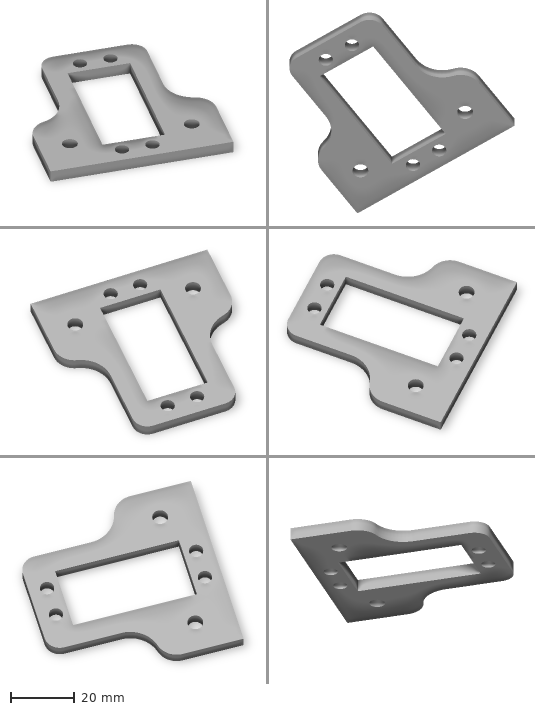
import cadquery as cq
import math

length = 60.35
base_width = 60.0
arm_width = 34.5
thickness = 4.0
base_straight_length = 20.0

arm_corner_radius = 5.0
shoulder_convex_radius = 7.0
shoulder_concave_radius = 10.0

window_length = 40.7
window_width = 20.5
window_center_to_edge = 30.0
window_hole_diameter = 4.5
window_hole_spacing_x = 49.0
window_hole_spacing_y = 10.0

mount_hole_diameter = 5.0
mount_hole_to_edge = 13.0
mount_hole_spacing = 40.0

edge_x = length / 2
arm_end_x = -length / 2
window_x = edge_x - window_center_to_edge


def point_on_circle(center, radius, angle):
    return (center[0] + radius * math.cos(angle), center[1] + radius * math.sin(angle))


def half_plate():
    """Half of the plate on the +Y side, with an S-shaped shoulder of two tangent arcs."""
    base_y = base_width / 2
    arm_y = arm_width / 2
    shoulder_x = edge_x - base_straight_length

    radius_sum = shoulder_convex_radius + shoulder_concave_radius
    turn = math.acos(1 - (base_y - arm_y) / radius_sum)
    arm_tangent_x = shoulder_x - radius_sum * math.sin(turn)

    convex_center = (shoulder_x, base_y - shoulder_convex_radius)
    concave_center = (arm_tangent_x, arm_y + shoulder_concave_radius)
    up = math.pi / 2
    convex_mid = point_on_circle(convex_center, shoulder_convex_radius, up + turn / 2)
    inflection = point_on_circle(convex_center, shoulder_convex_radius, up + turn)
    concave_mid = point_on_circle(concave_center, shoulder_concave_radius, -up + turn / 2)

    corner_center = (arm_end_x + arm_corner_radius, arm_y - arm_corner_radius)
    corner_mid = point_on_circle(corner_center, arm_corner_radius, 3 * math.pi / 4)

    return (
        cq.Workplane("XY")
        .moveTo(edge_x, 0)
        .lineTo(edge_x, base_y)
        .lineTo(shoulder_x, base_y)
        .threePointArc(convex_mid, inflection)
        .threePointArc(concave_mid, (arm_tangent_x, arm_y))
        .lineTo(corner_center[0], arm_y)
        .threePointArc(corner_mid, (arm_end_x, corner_center[1]))
        .lineTo(arm_end_x, 0)
        .close()
        .extrude(thickness)
    )


def full_plate():
    half = half_plate()
    return half.union(half.mirror("XZ")).clean()


def window():
    return (
        cq.Workplane("XY")
        .center(window_x, 0)
        .rect(window_length, window_width)
        .extrude(thickness)
    )


def window_holes():
    return (
        cq.Workplane("XY")
        .center(window_x, 0)
        .rect(window_hole_spacing_x, window_hole_spacing_y, forConstruction=True)
        .vertices()
        .circle(window_hole_diameter / 2)
        .extrude(thickness)
    )


def mount_holes():
    hole_x = edge_x - mount_hole_to_edge
    hole_y = mount_hole_spacing / 2
    return (
        cq.Workplane("XY")
        .pushPoints([(hole_x, hole_y), (hole_x, -hole_y)])
        .circle(mount_hole_diameter / 2)
        .extrude(thickness)
    )


result = full_plate().cut(window()).cut(window_holes()).cut(mount_holes())